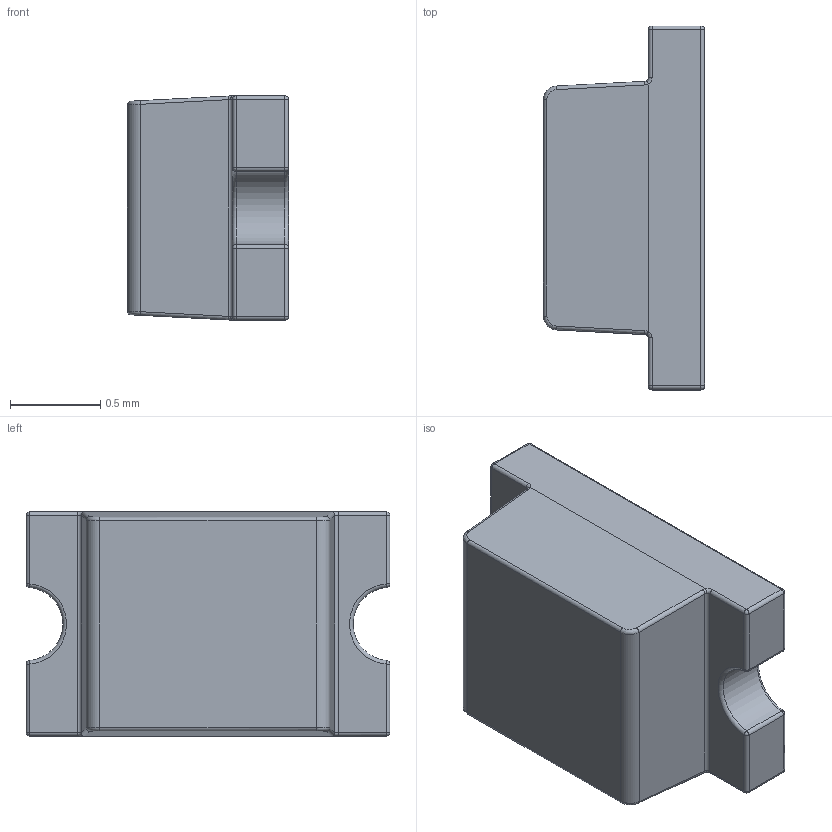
import cadquery as cq
import math

total_depth = 0.89
base_length = 2.01
height = 1.24

base_thickness = 0.31
lens_root_length = 1.40
lens_draft = 3.0
lens_depth = total_depth - base_thickness
lens_inset = lens_depth * math.tan(math.radians(lens_draft))

notch_radius = 0.203

lens_corner_radius = 0.075
edge_radius = 0.02
crease_tolerance = edge_radius / 10

tip_x = -total_depth / 2
shoulder_x = tip_x + lens_depth
back_x = total_depth / 2


def make_plan_body():
    """Stepped plan outline extruded in Z, with rounded lens tip and inner corners."""
    half_base = base_length / 2
    half_root = lens_root_length / 2
    half_tip = half_root - lens_inset
    body = (
        cq.Workplane("XY", origin=(0, 0, -height / 2))
        .moveTo(back_x, -half_base)
        .lineTo(back_x, half_base)
        .lineTo(shoulder_x, half_base)
        .lineTo(shoulder_x, half_root)
        .lineTo(tip_x, half_tip)
        .lineTo(tip_x, -half_tip)
        .lineTo(shoulder_x, -half_root)
        .lineTo(shoulder_x, -half_base)
        .close()
        .extrude(height)
    )
    body = body.faces("<X").edges("|Z").fillet(lens_corner_radius)
    for inner_corner_y in (-half_root, half_root):
        inner_corner = cq.selectors.NearestToPointSelector((shoulder_x, inner_corner_y, 0))
        body = body.edges(inner_corner).fillet(edge_radius)
    return body


def make_side_envelope():
    """Side outline that gives the lens its draft in Z, wide enough to span the base."""
    half_height = height / 2
    half_tip = half_height - lens_inset
    return (
        cq.Workplane("XZ")
        .moveTo(back_x, -half_height)
        .lineTo(back_x, half_height)
        .lineTo(shoulder_x, half_height)
        .lineTo(tip_x, half_tip)
        .lineTo(tip_x, -half_tip)
        .lineTo(shoulder_x, -half_height)
        .close()
        .extrude(base_length / 2, both=True)
    )


def make_notches():
    """Cylinders along X that cut a half-round through each short end."""
    return (
        cq.Workplane("YZ", origin=(shoulder_x, 0, 0))
        .pushPoints([(-base_length / 2, 0), (base_length / 2, 0)])
        .circle(notch_radius)
        .extrude(base_thickness)
    )


def is_sharp(edge):
    """True for an outer edge to round; false for the shallow creases where the draft starts."""
    middle = edge.Center()
    return abs(middle.x - shoulder_x) > crease_tolerance or abs(middle.y) > crease_tolerance


def round_edges(body):
    """Round every outer edge except the two draft creases."""
    sharp_edges = [edge for edge in body.edges().vals() if is_sharp(edge)]
    return body.newObject(sharp_edges).fillet(edge_radius)


blank = make_plan_body().intersect(make_side_envelope()).cut(make_notches())
result = round_edges(blank)